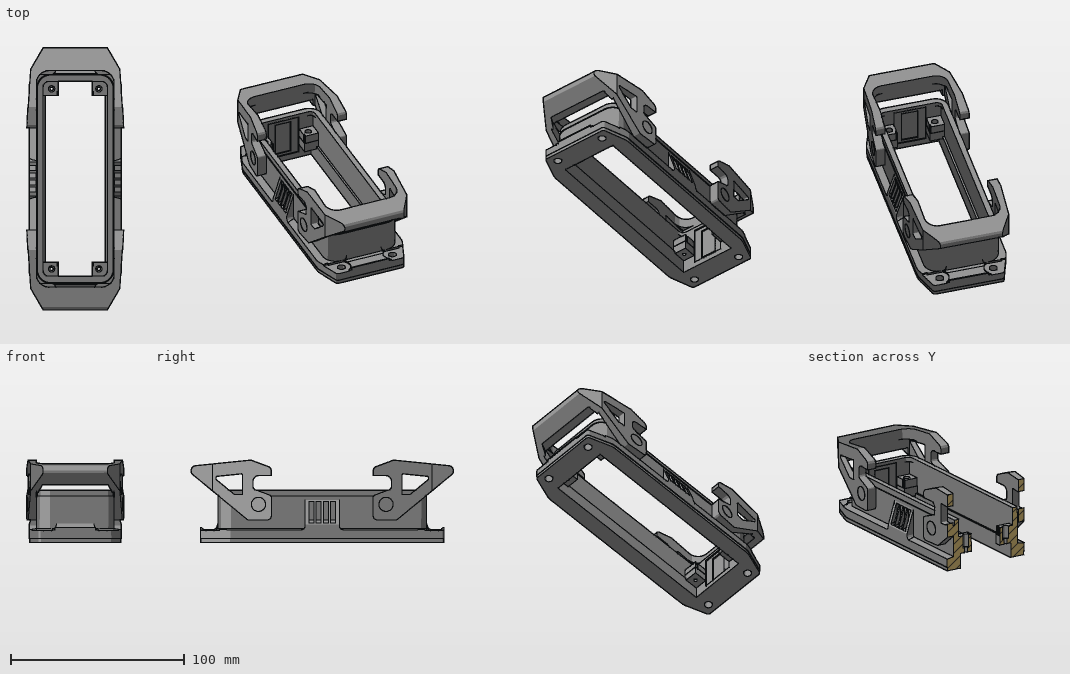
import cadquery as cq
import math


overlap = 1.5

flange_half_x = 26.6
flange_half_y = 70.2
flange_height = 7.4
flange_crown = 0.8
flange_crown_half_y = 60.8
flange_base_height = 2.3
flange_base_side_inset = 0.3
flange_base_end_inset = 0.2
flange_end_half_x = 21.0
flange_side_half_y = 54.6
flange_side_radius = 10.5
flange_end_radius = 1.8

screw_x = 16.0
screw_y = 64.7
screw_hole_radius = 2.3
pad_radius = 5.5
pad_depth = 0.5

platform_half_x = 11.8
platform_floor = 7.7
platform_rim = 8.8
platform_dish_inner_y = 62.3
platform_dish_outer_y = 68.3
rim_width = 0.6

ridge_top_half_x = 10.7
ridge_bottom_half_x = 11.3
ridge_top = 10.9
ridge_bottom = 8.9
ridge_depth = 0.6

sleeve_half_x = 22.2
sleeve_half_y = 60.2
sleeve_radius = 7.9
sleeve_height = 30.2
collar_height = 3.5
collar_inset = 0.5

opening_half_x = 18.5
opening_half_y = 56.1
opening_radius = 3.3
lip_height = 2.7
ledge_z = 10.5
ledge_width = 1.2

panel_depth = 0.8
outer_panel_half_x = 9.5
outer_panel_bottom = 3.8
outer_panel_top = 28.1
inner_panel_half_x = 4.8
inner_panel_bottom = 5.3
inner_panel_top = 25.7

block_inner_x = 9.7
block_inner_y = 48.0
block_bottom = 8.9
block_step_z = 14.7
block_top = 19.7
block_step = 0.2
block_wall_overlap = 0.3
block_notch_depth = 0.8
block_notch_start_y = 48.7
block_notch_length = 1.5
block_hole_x = 13.6
block_hole_y = 51.9
block_hole_radius = 1.8
block_hole_depth = 7.5
block_pilot_radius = 0.9

grip_half_y = 9.8
grip_top = 24.5
grip_bottom = 10.5
grip_foot_half_y = 12.7
grip_foot_radius = 2.4
groove_count = 4
groove_pitch = 4.1
groove_width = 2.9
groove_top = 23.6
groove_bottom = 11.3
groove_floor_rise = 1.8

lever_half_x = 28.0
lever_half_y = 75.6
lever_height = 47.6
lever_bottom = 13.2
lever_nose_y = 29.3
lever_nose_z = 43.2
lever_nose_radius = 2.7
lever_foot_radius = 2.3
lever_blunt_radius = 1.2
lever_peak_radius = 0.8
lever_shoulder_z = 27.0
notch_back_y = 39.8
notch_top = 38.5
notch_bottom = 31.0
notch_top_radius = 3.0
notch_bottom_radius = 1.8
window_inner_y = 46.0
window_outer_y = 61.1
window_bottom_end_y = 50.5
window_bottom = 27.7
window_outer_bottom = 36.5
window_outer_top = 38.1
window_inner_top = 39.6
window_radius = 0.5
lever_bend_half_x = 25.7
lever_bend_y = 63.2
lever_tip_half_x = 18.5
lever_heel_y = 43.0
lever_peak_y = 41.1
lever_apex_y = 80.1
lever_apex_z = 43.7
lever_inner_half_x = 22.4
bar_inner_y = 62.3
bar_inner_radius = 7.3
bar_round_bottom = 39.3
bar_pocket_y = 74.1
bar_pocket_edge_z = 38.7
bar_pocket_top_y = 71.5
bar_pocket_top_z = 33.3
bar_pocket_half_x = 15.9
bar_pocket_slope = 2.2
pivot_y = 36.7
pivot_z = 22.0
pivot_radius = 4.1
pivot_stand_out = 0.2


def rounded_outline(plane, corners):
    """Closed outline from (u, v, radius) corners; a zero radius leaves the corner sharp."""
    path = []
    for i, (u, v, radius) in enumerate(corners):
        before = corners[i - 1]
        after = corners[(i + 1) % len(corners)]
        corner = cq.Vector(u, v, 0)
        back = (cq.Vector(before[0], before[1], 0) - corner).normalized()
        ahead = (cq.Vector(after[0], after[1], 0) - corner).normalized()
        half_angle = back.getAngle(ahead) / 2
        tangent = radius / math.tan(half_angle)
        sagitta = radius / math.sin(half_angle) - radius
        start = corner + back * tangent
        middle = corner + (back + ahead).normalized() * sagitta
        end = corner + ahead * tangent
        path.append([(p.x, p.y) for p in (start, middle, end)] if radius else [(u, v)])
    outline = cq.Workplane(plane).moveTo(*path[0][-1])
    for stretch in path[1:]:
        outline = outline.lineTo(*stretch[0])
        if len(stretch) > 1:
            outline = outline.threePointArc(stretch[1], stretch[2])
    if len(path[0]) > 1:
        outline = outline.lineTo(*path[0][0]).threePointArc(path[0][1], path[0][2])
    return outline.close()


def prism(corners, bottom, top):
    """Upright prism over a rounded XY outline."""
    return rounded_outline("XY", corners).extrude(top - bottom).translate((0, 0, bottom))


def across(corners, half_x):
    """YZ outline extruded symmetrically across X."""
    return rounded_outline("YZ", corners).extrude(half_x, both=True)


def rectangle(half_x, half_y, radius):
    return [
        (half_x, half_y, radius),
        (-half_x, half_y, radius),
        (-half_x, -half_y, radius),
        (half_x, -half_y, radius),
    ]


def box(x_range, y_range, z_range):
    sizes = [high - low for low, high in (x_range, y_range, z_range)]
    lows = (x_range[0], y_range[0], z_range[0])
    return cq.Workplane("XY").box(*sizes, centered=False).translate(lows)


def both_ends(solid):
    return solid.union(solid.mirror("XZ"))


def all_corners(solid):
    return both_ends(solid.union(solid.mirror("YZ")))


def upright_cylinder(x, y, radius, bottom, top):
    return cq.Workplane("XY").center(x, y).circle(radius).extrude(top - bottom).translate((0, 0, bottom))


def flange_outline(half_x, half_y):
    quarter = [(half_x, flange_side_half_y, flange_side_radius),
               (flange_end_half_x, half_y, flange_end_radius)]
    upper = quarter + [(-x, y, r) for x, y, r in reversed(quarter)]
    return upper + [(x, -y, r) for x, y, r in reversed(upper)]


def make_flange():
    base_outline = flange_outline(
        flange_half_x - flange_base_side_inset, flange_half_y - flange_base_end_inset
    )
    base = prism(base_outline, 0, flange_base_height)
    body = base.union(
        prism(flange_outline(flange_half_x, flange_half_y), flange_base_height, flange_height)
    )
    crown_top = flange_height + flange_crown
    crown = (
        cq.Workplane("XZ")
        .polyline(
            [
                (flange_half_x, flange_height),
                (sleeve_half_x, crown_top),
                (-sleeve_half_x, crown_top),
                (-flange_half_x, flange_height),
            ]
        )
        .close()
        .extrude(flange_crown_half_y, both=True)
        .intersect(prism(flange_outline(flange_half_x, flange_half_y), 0, crown_top))
    )
    platform = across(
        [
            (sleeve_half_y - rim_width, flange_base_height, 0),
            (flange_half_y, flange_base_height, 0),
            (flange_half_y, platform_rim, 0),
            (flange_half_y - rim_width, platform_rim, 0),
            (platform_dish_outer_y, platform_floor, 0),
            (platform_dish_inner_y, platform_floor, 0),
            (sleeve_half_y, platform_rim, 0),
            (sleeve_half_y - rim_width, platform_rim, 0),
        ],
        platform_half_x,
    )
    ridge = across(
        [
            (sleeve_half_y - rim_width, 0, 0),
            (sleeve_half_y + ridge_depth, 0, 0),
            (sleeve_half_y + ridge_depth, ridge_bottom, 0),
            (sleeve_half_y, ridge_top, 0),
            (sleeve_half_y - rim_width, ridge_top, 0),
        ],
        ridge_bottom_half_x,
    )
    ridge_taper = (
        cq.Workplane("XZ")
        .polyline(
            [
                (-ridge_bottom_half_x, 0),
                (ridge_bottom_half_x, 0),
                (ridge_bottom_half_x, ridge_bottom),
                (ridge_top_half_x, ridge_top),
                (-ridge_top_half_x, ridge_top),
                (-ridge_bottom_half_x, ridge_bottom),
            ]
        )
        .close()
        .extrude(-flange_half_y)
    )
    ridge = ridge.intersect(ridge_taper)
    return body.union(crown).union(both_ends(platform.union(ridge)))


def cut_mounting_pads(body):
    pad_floor = flange_height - pad_depth
    clearance_top = platform_rim + overlap
    pad = upright_cylinder(screw_x, screw_y, pad_radius, pad_floor, clearance_top)
    outer_corner = box(
        (screw_x - pad_radius / 2, flange_half_x),
        (screw_y, flange_half_y),
        (pad_floor, clearance_top),
    )
    side_corner = box(
        (screw_x, flange_half_x),
        (screw_y - pad_radius, flange_half_y),
        (pad_floor, clearance_top),
    )
    keep = box((0, sleeve_half_x), (0, sleeve_half_y), (0, clearance_top))
    hole = upright_cylinder(screw_x, screw_y, screw_hole_radius, 0, clearance_top)
    pocket = pad.union(outer_corner).union(side_corner).cut(keep).union(hole)
    return body.cut(all_corners(pocket))


def make_sleeve():
    collar_bottom = sleeve_height - collar_height
    lower = prism(rectangle(sleeve_half_x, sleeve_half_y, sleeve_radius), 0, collar_bottom)
    collar = prism(
        rectangle(sleeve_half_x - collar_inset, sleeve_half_y - collar_inset, sleeve_radius - collar_inset),
        collar_bottom,
        sleeve_height,
    )
    return lower.union(collar)


def make_opening():
    lip_bottom = sleeve_height - lip_height
    lip = prism(rectangle(opening_half_x, opening_half_y, opening_radius), lip_bottom, sleeve_height)
    chamber = prism(rectangle(opening_half_x, opening_half_y, 0), ledge_z, lip_bottom)
    throat = prism(rectangle(opening_half_x - ledge_width, opening_half_y, 0), 0, ledge_z)
    outer_panel = box(
        (-outer_panel_half_x, outer_panel_half_x),
        (0, opening_half_y + panel_depth),
        (outer_panel_bottom, outer_panel_top),
    )
    inner_panel = box(
        (-inner_panel_half_x, inner_panel_half_x),
        (0, opening_half_y + 2 * panel_depth),
        (inner_panel_bottom, inner_panel_top),
    )
    return lip.union(chamber).union(throat).union(both_ends(outer_panel.union(inner_panel)))


def make_corner_blocks():
    lower = box(
        (block_inner_x, opening_half_x + block_wall_overlap),
        (block_inner_y, opening_half_y + block_wall_overlap),
        (block_bottom, block_step_z),
    )
    upper = box(
        (block_inner_x + block_step, opening_half_x + block_wall_overlap),
        (block_inner_y + block_step, opening_half_y + block_wall_overlap),
        (block_step_z, block_top),
    )
    notch = box(
        (block_inner_x, block_inner_x + block_notch_depth),
        (block_notch_start_y, block_notch_start_y + block_notch_length),
        (block_step_z, block_top),
    )
    block = lower.union(upper).cut(notch)
    bore = upright_cylinder(
        block_hole_x, block_hole_y, block_hole_radius, block_top - block_hole_depth, block_top
    )
    pilot = upright_cylinder(block_hole_x, block_hole_y, block_pilot_radius, block_bottom, block_top)
    return all_corners(block.cut(bore).cut(pilot))


def make_grip():
    """Grooved wedge on the +X side, standing on a flared foot."""
    wall_x = sleeve_half_x - overlap
    foot = (
        rounded_outline(
            "YZ",
            [
                (-grip_foot_half_y, flange_base_height, 0),
                (grip_foot_half_y, flange_base_height, 0),
                (grip_foot_half_y, flange_height, 0),
                (grip_half_y, flange_height, grip_foot_radius),
                (grip_half_y, grip_bottom, 0),
                (-grip_half_y, grip_bottom, 0),
                (-grip_half_y, flange_height, grip_foot_radius),
                (-grip_foot_half_y, flange_height, 0),
            ],
        )
        .extrude(flange_half_x - wall_x)
        .translate((wall_x, 0, 0))
    )
    wedge = (
        cq.Workplane("XZ")
        .polyline(
            [
                (wall_x, grip_bottom),
                (flange_half_x, grip_bottom),
                (sleeve_half_x, grip_top),
                (wall_x, grip_top),
            ]
        )
        .close()
        .extrude(grip_half_y, both=True)
    )
    grip = foot.union(wedge)
    for i in range(groove_count):
        groove = (
            cq.Workplane("XZ")
            .polyline(
                [
                    (sleeve_half_x, groove_bottom + groove_floor_rise),
                    (flange_half_x, groove_bottom),
                    (flange_half_x, groove_top),
                    (sleeve_half_x, groove_top),
                ]
            )
            .close()
            .extrude(groove_width / 2, both=True)
            .translate((0, (i - (groove_count - 1) / 2) * groove_pitch, 0))
        )
        grip = grip.cut(groove)
    return grip


def make_lever():
    """U-shaped locking lever at the +Y end, with its two pivot pins."""
    top_tilt = math.atan2(lever_height - lever_apex_z, lever_apex_y - lever_peak_y)
    underside_tilt = math.atan2(lever_apex_z - lever_bottom, lever_apex_y - lever_heel_y)
    half_wedge = (top_tilt + underside_tilt) / 2
    wedge_axis = (underside_tilt - top_tilt) / 2
    centre_setback = math.cos(wedge_axis) / math.sin(half_wedge)
    tip_radius = (lever_apex_y - lever_half_y) / (centre_setback - 1)
    profile = across(
        [
            (lever_nose_y, lever_bottom, lever_foot_radius),
            (lever_heel_y, lever_bottom, lever_blunt_radius),
            (lever_apex_y, lever_apex_z, tip_radius),
            (lever_peak_y, lever_height, lever_peak_radius),
            (lever_nose_y, lever_nose_z, lever_nose_radius),
            (lever_nose_y, notch_top, 0),
            (notch_back_y, notch_top, notch_top_radius),
            (notch_back_y, notch_bottom, notch_bottom_radius),
            (lever_nose_y, lever_shoulder_z, lever_blunt_radius),
        ],
        lever_half_x,
    )
    chamfer_slope = (lever_bend_half_x - lever_tip_half_x) / (lever_half_y - lever_bend_y)
    plan_end_half_x = lever_bend_half_x - (lever_apex_y - lever_bend_y) * chamfer_slope
    plan = prism(
        [
            (-lever_half_x, lever_nose_y, 0),
            (lever_half_x, lever_nose_y, 0),
            (lever_bend_half_x, lever_bend_y, 0),
            (plan_end_half_x, lever_apex_y, 0),
            (-plan_end_half_x, lever_apex_y, 0),
            (-lever_bend_half_x, lever_bend_y, 0),
        ],
        0,
        lever_height,
    )
    lower_gap = box(
        (-lever_inner_half_x, lever_inner_half_x), (0, bar_inner_y), (0, bar_round_bottom)
    )
    upper_gap = prism(
        rectangle(lever_inner_half_x, bar_inner_y, bar_inner_radius), bar_round_bottom, lever_height
    )
    window = across(
        [
            (window_inner_y, window_bottom, window_radius),
            (window_bottom_end_y, window_bottom, window_radius),
            (window_outer_y, window_outer_bottom, window_radius),
            (window_outer_y, window_outer_top, window_radius),
            (window_inner_y, window_inner_top, window_radius),
        ],
        lever_half_x,
    )
    bar_pocket = across(
        [
            (bar_inner_y - overlap, 0, 0),
            (bar_pocket_y, 0, 0),
            (bar_pocket_y, bar_pocket_edge_z, 0),
            (bar_pocket_top_y, bar_pocket_top_z, 0),
            (bar_inner_y - overlap, bar_pocket_top_z, 0),
        ],
        lever_inner_half_x,
    )
    pocket_wide_y = bar_pocket_y - (lever_inner_half_x - bar_pocket_half_x) * bar_pocket_slope
    pocket_plan = prism(
        [
            (-lever_inner_half_x, 0, 0),
            (lever_inner_half_x, 0, 0),
            (lever_inner_half_x, pocket_wide_y, 0),
            (bar_pocket_half_x, bar_pocket_y, 0),
            (-bar_pocket_half_x, bar_pocket_y, 0),
            (-lever_inner_half_x, pocket_wide_y, 0),
        ],
        0,
        lever_height,
    )
    lever = profile.intersect(plan).cut(lower_gap).cut(upper_gap).cut(window)
    lever = lever.cut(bar_pocket.intersect(pocket_plan))
    pin_start = sleeve_half_x - overlap
    pin = (
        cq.Workplane("YZ")
        .center(pivot_y, pivot_z)
        .circle(pivot_radius)
        .extrude(lever_half_x - pin_start)
        .translate((pin_start, 0, 0))
    )
    pin = pin.intersect(plan.translate((pivot_stand_out, 0, 0)))
    return lever.union(pin).union(pin.mirror("YZ"))


grip = make_grip()
body = cut_mounting_pads(make_flange())
body = body.union(make_sleeve()).cut(make_opening())
body = body.union(make_corner_blocks()).union(grip).union(grip.mirror("YZ"))
result = body.union(both_ends(make_lever()))